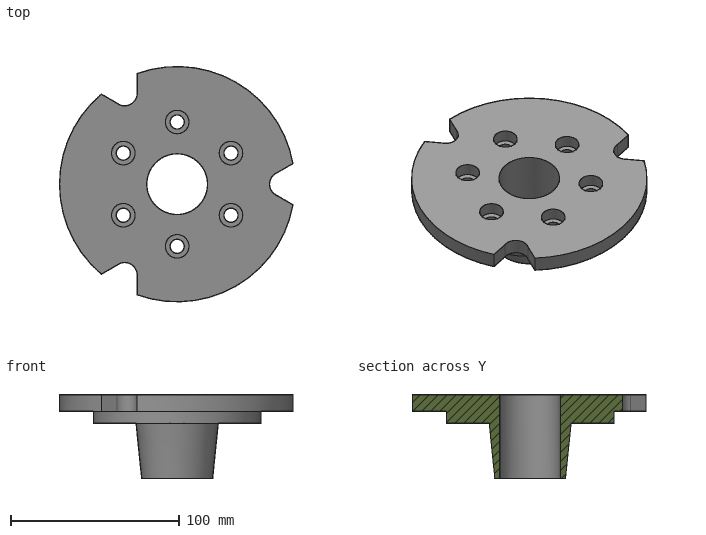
import cadquery as cq
import math

flange_diameter = 140.0
flange_thickness = 10.0
step_diameter = 100.0
step_thickness = 7.1

total_height = 50.0
hub_top_diameter = 49.0
hub_bottom_diameter = 42.3
bore_diameter = 36.0

bolt_count = 6
bolt_circle_radius = 37.0
bolt_diameter = 8.3
counterbore_diameter = 14.0
counterbore_depth = 8.0

notch_count = 3
notch_root_radius = 7.4
notch_root_center = 62.5
notch_apex_radius = 47.7
notch_half_angle = math.radians(30)

hub_height = total_height - flange_thickness - step_thickness
step_bottom = hub_height
flange_bottom = step_bottom + step_thickness


def disk(diameter, bottom, height):
    """Solid cylinder on the Z axis."""
    return cq.Workplane("XY").workplane(offset=bottom).circle(diameter / 2).extrude(height)


def make_hub():
    """Solid cone frustum, narrow end at Z = 0."""
    return (
        cq.Workplane("XY")
        .circle(hub_bottom_diameter / 2)
        .workplane(offset=hub_height)
        .circle(hub_top_diameter / 2)
        .loft(combine=True)
    )


def notch_cutter(angle):
    """Notch along +X, turned about Z; its walls start on the outer side of the root arc."""
    center_to_apex = notch_root_center - notch_apex_radius
    center_to_wall = center_to_apex * math.sin(notch_half_angle)
    half_chord = math.sqrt(notch_root_radius**2 - center_to_wall**2)
    wall_start = center_to_apex * math.cos(notch_half_angle) + half_chord
    inner_x = notch_apex_radius + wall_start * math.cos(notch_half_angle)
    inner_y = wall_start * math.sin(notch_half_angle)
    outer_x = flange_diameter / 2 + notch_root_radius
    outer_y = (outer_x - notch_apex_radius) * math.tan(notch_half_angle)
    cutter = (
        cq.Workplane("XY")
        .workplane(offset=flange_bottom)
        .moveTo(outer_x, outer_y)
        .lineTo(inner_x, inner_y)
        .threePointArc((notch_root_center - notch_root_radius, 0), (inner_x, -inner_y))
        .lineTo(outer_x, -outer_y)
        .close()
        .extrude(flange_thickness)
    )
    return cutter.rotate((0, 0, 0), (0, 0, 1), angle)


body = make_hub()
body = body.union(disk(step_diameter, step_bottom, step_thickness))
body = body.union(disk(flange_diameter, flange_bottom, flange_thickness))
body = body.cut(disk(bore_diameter, 0, total_height))

for index in range(notch_count):
    body = body.cut(notch_cutter(index * 360 / notch_count))

result = (
    body.faces(">Z")
    .workplane(origin=(0, 0, total_height))
    .polarArray(bolt_circle_radius, 90, 360, bolt_count)
    .cboreHole(bolt_diameter, counterbore_diameter, counterbore_depth)
)